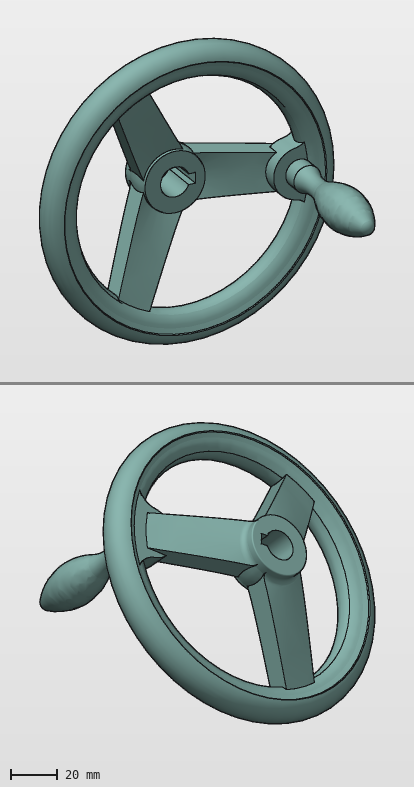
import cadquery as cq
import math


hub_diameter = 29.0
hub_length = 19.0
hub_edge_round = 0.5
hub_radius = hub_diameter / 2
barrel_start = 5.0
barrel_end = 17.8
barrel_bulge = 0.8
bore_diameter = 14.0
keyway_width = 5.0
keyway_depth = 9.8

wheel_radius = 70.0
rim_section_radius = 8.7
rim_center_radius = wheel_radius - rim_section_radius
rim_center_x = 30.0
lip_radius = 63.3
lip_step = 0.4
dish_radius = 60.6
dish_x = 22.8
dish_mid_radius = 57.1
dish_mid_x = 24.2
nose_edge_radius = 55.5
nose_edge_x = 25.6
nose_radius = 54.0

spoke_count = 3
spoke_inner = 9.1
spoke_outer = 58.8
spoke_inner_half_width = 11.0
spoke_taper = 0.053
spoke_front_x = 3.4
spoke_front_slope = 0.43
spoke_rear_x = 15.1
spoke_rear_slope = 0.4

flare_start = 3.5
flare_radius = 16.8

handle_offset = 51.8
boss_radius = 12.3
boss_back = 34.9
boss_blend_angle = 100.0
boss_edge_y = 57.7
handle_base_radius = 13.0 / 2
handle_base_end = 42.5
neck_x = 52.2
neck_radius = 4.5
grip_start = 60.3
grip_start_radius = 5.9
grip_middle = 77.7
grip_radius = 10.0
grip_end = 100.0
grip_end_radius = 3.2
grip_start_slope = 0.45
grip_end_slope = -0.6
handle_end = 101.5

AXIS_START = (0, 0, 0)
AXIS_END = (1, 0, 0)


def revolve_about_x(profile):
    return profile.close().revolve(360, AXIS_START, AXIS_END)


def spoke_front(radius):
    """X of the sloping front face of a spoke."""
    return spoke_front_x + spoke_front_slope * (radius - spoke_inner)


def spoke_rear(radius):
    """X of the sloping rear face of a spoke."""
    return spoke_rear_x + spoke_rear_slope * (radius - spoke_inner)


def make_hub():
    barrel_middle = (barrel_start + barrel_end) / 2
    profile = (
        cq.Workplane("XY")
        .lineTo(0, hub_radius - hub_edge_round)
        .radiusArc((hub_edge_round, hub_radius), hub_edge_round)
        .lineTo(barrel_start, hub_radius)
        .threePointArc((barrel_middle, hub_radius + barrel_bulge), (barrel_end, hub_radius))
        .lineTo(hub_length, hub_radius)
        .lineTo(hub_length, 0)
    )
    return revolve_about_x(profile)


def make_rim():
    """Round rim, dished on the inner front and rear sides behind narrow lips."""
    lip_height = lip_radius - rim_center_radius
    lip_x = rim_center_x - math.sqrt(rim_section_radius**2 - lip_height**2)

    def mirrored(x):
        return 2 * rim_center_x - x

    profile = (
        cq.Workplane("XY")
        .moveTo(lip_x, lip_radius)
        .threePointArc((rim_center_x, wheel_radius), (mirrored(lip_x), lip_radius))
        .lineTo(mirrored(lip_x + lip_step), lip_radius - lip_step)
        .lineTo(mirrored(dish_x), dish_radius)
        .threePointArc((mirrored(dish_mid_x), dish_mid_radius), (mirrored(nose_edge_x), nose_edge_radius))
        .threePointArc((rim_center_x, nose_radius), (nose_edge_x, nose_edge_radius))
        .threePointArc((dish_mid_x, dish_mid_radius), (dish_x, dish_radius))
        .lineTo(lip_x + lip_step, lip_radius - lip_step)
    )
    return revolve_about_x(profile)


def make_spoke_disc():
    """Full conical disc, flared at the front where it meets the hub."""
    flare_width = spoke_front(flare_radius) - flare_start
    flare_height = flare_radius - hub_radius
    flare_arc_radius = (flare_width**2 + flare_height**2) / (2 * flare_height)
    profile = (
        cq.Workplane("XY")
        .moveTo(flare_start, 0)
        .lineTo(flare_start, hub_radius)
        .radiusArc((spoke_front(flare_radius), flare_radius), -flare_arc_radius)
        .lineTo(spoke_front(spoke_outer), spoke_outer)
        .lineTo(spoke_rear(spoke_outer), spoke_outer)
        .lineTo(spoke_rear(0), 0)
    )
    return revolve_about_x(profile)


def make_spoke():
    """One spoke along +Y: the tapered outline cut from the conical disc."""
    outer_half_width = spoke_inner_half_width - spoke_taper * (spoke_outer - spoke_inner)
    outline = (
        cq.Workplane("YZ")
        .moveTo(spoke_inner, -spoke_inner_half_width)
        .lineTo(spoke_outer, -outer_half_width)
        .lineTo(spoke_outer, outer_half_width)
        .lineTo(spoke_inner, spoke_inner_half_width)
        .close()
        .extrude(spoke_rear(spoke_outer))
    )
    return make_spoke_disc().intersect(outline)


def make_boss():
    """Round handle boss, blended sideways into the rim."""
    angle = math.radians(boss_blend_angle)
    blend_y = handle_offset + boss_radius * math.cos(angle)
    blend_z = boss_radius * math.sin(angle)
    edge_z = math.sqrt(dish_radius**2 - boss_edge_y**2)
    tangent_y = math.sin(angle)
    tangent_z = -math.cos(angle)
    step_y = boss_edge_y - blend_y
    step_z = edge_z - blend_z
    normal_step = step_z * tangent_y - step_y * tangent_z
    blend_radius = (step_y**2 + step_z**2) / (2 * normal_step)
    return (
        cq.Workplane("YZ", origin=(dish_x, 0, 0))
        .moveTo(boss_edge_y, -edge_z)
        .radiusArc((blend_y, -blend_z), -blend_radius)
        .threePointArc((handle_offset - boss_radius, 0), (blend_y, blend_z))
        .radiusArc((boss_edge_y, edge_z), -blend_radius)
        .threePointArc((dish_radius, 0), (boss_edge_y, -edge_z))
        .close()
        .extrude(boss_back - dish_x)
    )


def make_handle():
    tip_length = handle_end - grip_end
    tip_round = (grip_end_radius**2 + tip_length**2) / (2 * tip_length)
    profile = (
        cq.Workplane("XY")
        .moveTo(dish_x, 0)
        .lineTo(dish_x, handle_base_radius)
        .lineTo(handle_base_end, handle_base_radius)
        .threePointArc((neck_x, neck_radius), (grip_start, grip_start_radius))
        .spline(
            [(grip_middle, grip_radius), (grip_end, grip_end_radius)],
            tangents=[(1, grip_start_slope), (1, grip_end_slope)],
            includeCurrent=True,
        )
        .radiusArc((handle_end, 0), tip_round)
    )
    return revolve_about_x(profile).translate((0, handle_offset, 0))


def make_bore():
    bore = cq.Workplane("YZ").circle(bore_diameter / 2).extrude(hub_length)
    keyway = cq.Workplane("XY").box(
        hub_length, keyway_depth, keyway_width, centered=(False, False, True)
    )
    return bore.union(keyway)


wheel = make_hub().union(make_rim())
spoke = make_spoke()
for index in range(spoke_count):
    wheel = wheel.union(spoke.rotate(AXIS_START, AXIS_END, index * 360 / spoke_count))

result = wheel.union(make_boss()).union(make_handle()).cut(make_bore())